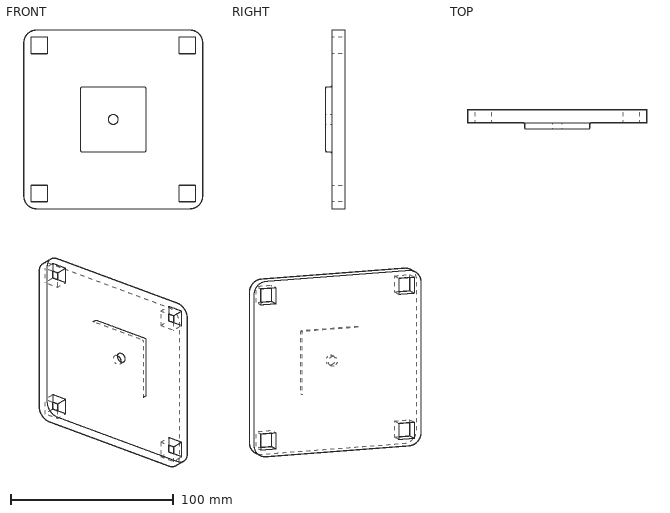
import cadquery as cq

plate_side = 110.0
plate_thickness = 8.0
plate_corner_radius = 8.0

pad_side = 40.0
pad_height = 4.0
pad_edge_radius = 1.0

mount_hole_side = 10.0
mount_hole_margin = 4.5
mount_hole_pitch = plate_side - 2 * mount_hole_margin - mount_hole_side

centre_hole_diameter = 6.0
centre_hole_depth = pad_height

pad_front = -pad_height


def square_block(side, thickness):
    """Square block with its back in the XZ plane, growing toward -Y."""
    return cq.Workplane("XZ").rect(side, side).extrude(thickness)


def make_plate():
    """Plate with rounded corners and its front face at Y = 0."""
    block = square_block(plate_side, plate_thickness).translate((0, plate_thickness, 0))
    return block.edges("|Y").fillet(plate_corner_radius)


def add_pad(plate):
    """Add the pad, round its outer edges and blend its foot into the plate."""
    pad = square_block(pad_side, pad_height)
    pad = pad.edges("|Y or <Y").fillet(pad_edge_radius)
    body = plate.union(pad)

    reach = pad_side / 2 + pad_edge_radius
    slack = pad_edge_radius / 2
    foot_edges = cq.selectors.BoxSelector(
        (-reach, -slack, -reach), (reach, slack, reach), boundingbox=True
    )
    return body.edges(foot_edges).fillet(pad_edge_radius)


def cut_mount_holes(body):
    """Cut a square hole through the plate at each corner."""
    cutters = (
        cq.Workplane("XZ")
        .rarray(mount_hole_pitch, mount_hole_pitch, 2, 2)
        .rect(mount_hole_side, mount_hole_side)
        .extrude(-plate_thickness)
    )
    return body.cut(cutters)


def cut_centre_hole(body):
    """Sink the blind round hole into the pad."""
    cutter = (
        cq.Workplane("XZ", origin=(0, pad_front, 0))
        .circle(centre_hole_diameter / 2)
        .extrude(-centre_hole_depth)
    )
    return body.cut(cutter)


result = cut_centre_hole(cut_mount_holes(add_pad(make_plate())))